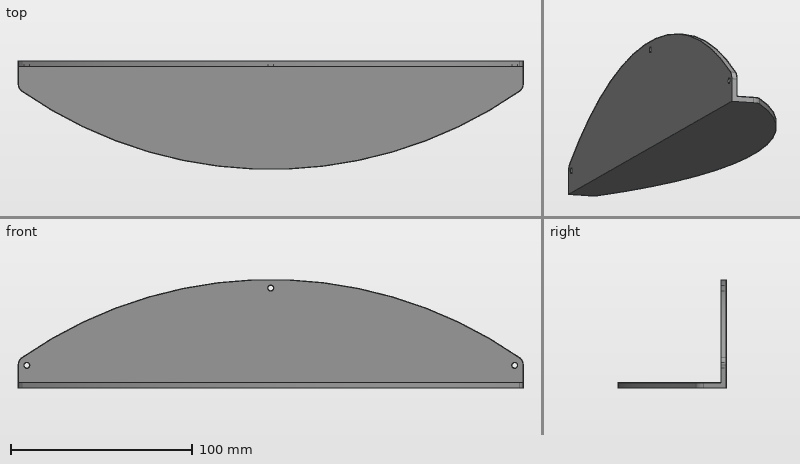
import cadquery as cq

length = 278.5
leg = 60.0
thickness = 3.0
end_height = 15.3
corner_radius = 5.0
hole_diameter = 3.0
hole_inset = 4.7
end_hole_height = 12.5

half_length = length / 2


def flange(plane):
    """Arched plate with its straight edge on the X axis and rounded end corners."""
    plate = (
        cq.Workplane(plane)
        .moveTo(-half_length, 0)
        .lineTo(half_length, 0)
        .lineTo(half_length, end_height)
        .threePointArc((0, leg), (-half_length, end_height))
        .close()
        .extrude(-thickness)
    )
    tip_size = end_height / 2
    tips = cq.selectors.BoxSelector(
        plane.toWorldCoords((-length, end_height - tip_size, -length)),
        plane.toWorldCoords((length, end_height + tip_size, length)),
    )
    thickness_edges = cq.selectors.ParallelDirSelector(plane.zDir)
    return plate.edges(thickness_edges).edges(tips).fillet(corner_radius)


upright_plane = cq.Plane(origin=(0, -thickness, 0), xDir=(1, 0, 0), normal=(0, -1, 0))
base_plane = cq.Plane(origin=(0, 0, 0), xDir=(1, 0, 0), normal=(0, 0, -1))

upright = flange(upright_plane)
base = flange(base_plane)

end_hole_x = half_length - hole_inset
hole_centres = [
    (-end_hole_x, end_hole_height),
    (end_hole_x, end_hole_height),
    (0, leg - hole_inset),
]
holes = (
    cq.Workplane(upright_plane)
    .pushPoints(hole_centres)
    .circle(hole_diameter / 2)
    .extrude(-thickness)
)

result = upright.cut(holes).union(base)